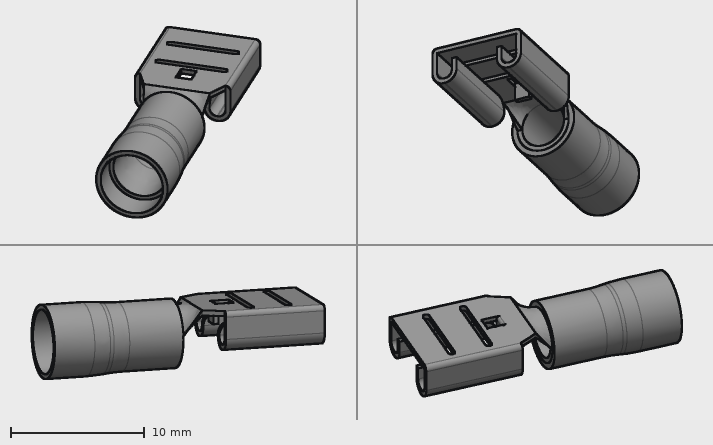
import cadquery as cq

total_length = 20.98
sheet = 0.4
tab_top = 2.16
tab_bottom = tab_top - sheet
tab_half_width = 3.73
tab_front = 13.2
bend_radius = sheet
tab_length = total_length - tab_front

curl_radius = 0.99
curl_inner = curl_radius - sheet
curl_center_z = 0.06
curl_flat = 0.06
lip_top = 1.03
lip_corner = 0.97

fold_half_width = tab_half_width - bend_radius
neck_half_width = 2.58
neck_start = 11.69

slot_length = 5.62
slot_width = 0.5
slot_centers = (15.5, 18.48)

window_width = 1.2
window_front = 13.36
window_back = 14.81
tongue_back = 13.62
tongue_bottom = 0.6
tongue_inner_bend = 0.2

barrel_radius = tab_top
barrel_bore = barrel_radius - sheet
barrel_mouth = 2.25
flare_end = 5.95
flare_radius = 2.43
flare_bore = 2.12

sleeve_end = 10.2
sleeve_radius = 2.62
bell_radius = 2.8
bell_end = 3.15
shoulder_mid_start = 4.4
shoulder_mid_end = 4.7
shoulder_end = flare_end
shoulder_slope = (bell_radius - sleeve_radius) / (
    (shoulder_end - bell_end + shoulder_mid_end - shoulder_mid_start) / 2
)

TOWARDS_TAB = (0, 1)
TOWARDS_MOUTH = (0, -1)
AXIS_START = (0, 0)


def make_fold(side):
    """Side wall and rolled lower edge on one side (side = -1 or 1)."""
    wall_out = tab_half_width
    wall_in = wall_out - sheet
    outer_center = wall_out - curl_radius
    inner_center = outer_center - curl_flat
    lip_out = inner_center - curl_radius
    lip_in = inner_center - curl_inner
    bottom = curl_center_z - curl_radius
    floor = curl_center_z - curl_inner
    fold = (
        cq.Workplane("XZ", origin=(0, total_length, 0))
        .moveTo(fold_half_width, tab_top)
        .radiusArc((wall_out, tab_top - bend_radius), bend_radius)
        .lineTo(wall_out, curl_center_z)
        .radiusArc((outer_center, bottom), curl_radius)
        .lineTo(inner_center, bottom)
        .radiusArc((lip_out, curl_center_z), curl_radius)
        .lineTo(lip_out, lip_top)
        .lineTo(lip_in, lip_top)
        .lineTo(lip_in, curl_center_z)
        .radiusArc((inner_center, floor), -curl_inner)
        .lineTo(outer_center, floor)
        .radiusArc((wall_in, curl_center_z), -curl_inner)
        .lineTo(wall_in, tab_bottom)
        .close()
        .extrude(tab_length)
    )
    lip_edge = cq.selectors.NearestToPointSelector(((lip_out + lip_in) / 2, tab_front, lip_top))
    fold = fold.edges("|X").edges(lip_edge).fillet(lip_corner)
    return fold if side > 0 else fold.mirror("YZ")


def make_tab():
    """Flat top plate, narrowing towards the neck."""
    return (
        cq.Workplane("XY", origin=(0, 0, tab_bottom))
        .polyline([
            (-neck_half_width, neck_start),
            (-fold_half_width, tab_front),
            (-fold_half_width, total_length),
            (fold_half_width, total_length),
            (fold_half_width, tab_front),
            (neck_half_width, neck_start),
        ])
        .close()
        .extrude(sheet)
    )


def make_slots():
    """Cutters for the cross slots in the tab."""
    return (
        cq.Workplane("XY", origin=(0, 0, tab_bottom))
        .pushPoints([(0, y) for y in slot_centers])
        .slot2D(slot_length, slot_width)
        .extrude(sheet)
    )


def make_window():
    """Cutter for the rectangular window in the tab."""
    length = window_back - window_front
    return (
        cq.Workplane("XY", origin=(0, window_front + length / 2, tab_bottom))
        .rect(window_width, length)
        .extrude(sheet)
    )


def make_tongue():
    """Locking tongue bent down from the front edge of the window."""
    outer_bend = tongue_back - window_front
    tongue_front = tongue_back - sheet
    return (
        cq.Workplane("YZ", origin=(-window_width / 2, 0, 0))
        .moveTo(window_front, tab_top)
        .radiusArc((tongue_back, tab_top - outer_bend), outer_bend)
        .lineTo(tongue_back, tongue_bottom)
        .lineTo(tongue_front, tongue_bottom)
        .lineTo(tongue_front, tab_bottom - tongue_inner_bend)
        .radiusArc((tongue_front - tongue_inner_bend, tab_bottom), -tongue_inner_bend)
        .lineTo(window_front, tab_bottom)
        .close()
        .extrude(window_width)
    )


def strip_edges(y, outer_end, outer_top, inner_end, inner_top):
    """Edges, at y, of a strip seen on end: outer side, right end, inner side, left end.

    outer_end and inner_end are the (x, z) of the right-hand ends of its two long sides, which
    are arched up to outer_top and inner_top, or straight where there is no rise.
    """
    def long_side(end, top):
        left = cq.Vector(-end[0], y, end[1])
        right = cq.Vector(end[0], y, end[1])
        if top == end[1]:
            return cq.Edge.makeLine(left, right)
        return cq.Edge.makeThreePointArc(left, cq.Vector(0, y, top), right)

    outer = long_side(outer_end, outer_top)
    inner = long_side(inner_end, inner_top)
    right_end = cq.Edge.makeLine(outer.endPoint(), inner.endPoint())
    left_end = cq.Edge.makeLine(outer.startPoint(), inner.startPoint())
    return [outer, right_end, inner, left_end]


def make_neck():
    """Transition from the flat sheet to the upper half of the barrel."""
    flat = strip_edges(
        neck_start, (neck_half_width, tab_top), tab_top, (neck_half_width, tab_bottom), tab_bottom
    )
    half_ring = strip_edges(
        sleeve_end, (barrel_radius, 0), barrel_radius, (barrel_bore, 0), barrel_bore
    )
    faces = [cq.Face.makeRuledSurface(start, end) for start, end in zip(flat, half_ring)]
    faces += [cq.Face.makeFromWires(cq.Wire.assembleEdges(edges)) for edges in (flat, half_ring)]
    return cq.Workplane(cq.Solid.makeSolid(cq.Shell.makeShell(faces)))


def make_barrel():
    """Crimp barrel with a flared mouth."""
    return (
        cq.Workplane("XY")
        .moveTo(flare_bore, barrel_mouth)
        .lineTo(flare_radius, barrel_mouth)
        .spline([(barrel_radius, flare_end)], tangents=[TOWARDS_TAB, TOWARDS_TAB], includeCurrent=True)
        .lineTo(barrel_radius, sleeve_end)
        .lineTo(barrel_bore, sleeve_end)
        .lineTo(barrel_bore, flare_end)
        .spline([(flare_bore, barrel_mouth)], tangents=[TOWARDS_MOUTH, TOWARDS_MOUTH], includeCurrent=True)
        .close()
        .revolve(360, AXIS_START, TOWARDS_TAB)
    )


def make_terminal():
    terminal = make_tab()
    for side in (-1, 1):
        terminal = terminal.union(make_fold(side))
    terminal = terminal.cut(make_slots()).cut(make_window())
    return terminal.union(make_tongue()).union(make_neck()).union(make_barrel())


def make_sleeve():
    """Insulating sleeve with a belled mouth, fitted closely over the barrel."""
    mid_start_radius = bell_radius - shoulder_slope * (shoulder_mid_start - bell_end) / 2
    mid_end_radius = sleeve_radius + shoulder_slope * (shoulder_end - shoulder_mid_end) / 2
    return (
        cq.Workplane("XY")
        .moveTo(flare_radius, 0)
        .lineTo(bell_radius, 0)
        .lineTo(bell_radius, bell_end)
        .tangentArcPoint((mid_start_radius, shoulder_mid_start), relative=False)
        .lineTo(mid_end_radius, shoulder_mid_end)
        .tangentArcPoint((sleeve_radius, shoulder_end), relative=False)
        .lineTo(sleeve_radius, sleeve_end)
        .lineTo(barrel_radius, sleeve_end)
        .lineTo(barrel_radius, flare_end)
        .spline([(flare_radius, barrel_mouth)], tangents=[TOWARDS_MOUTH, TOWARDS_MOUTH], includeCurrent=True)
        .close()
        .revolve(360, AXIS_START, TOWARDS_TAB)
    )


terminal = make_terminal()
sleeve = make_sleeve()
result = cq.Compound.makeCompound([terminal.val(), sleeve.val()])